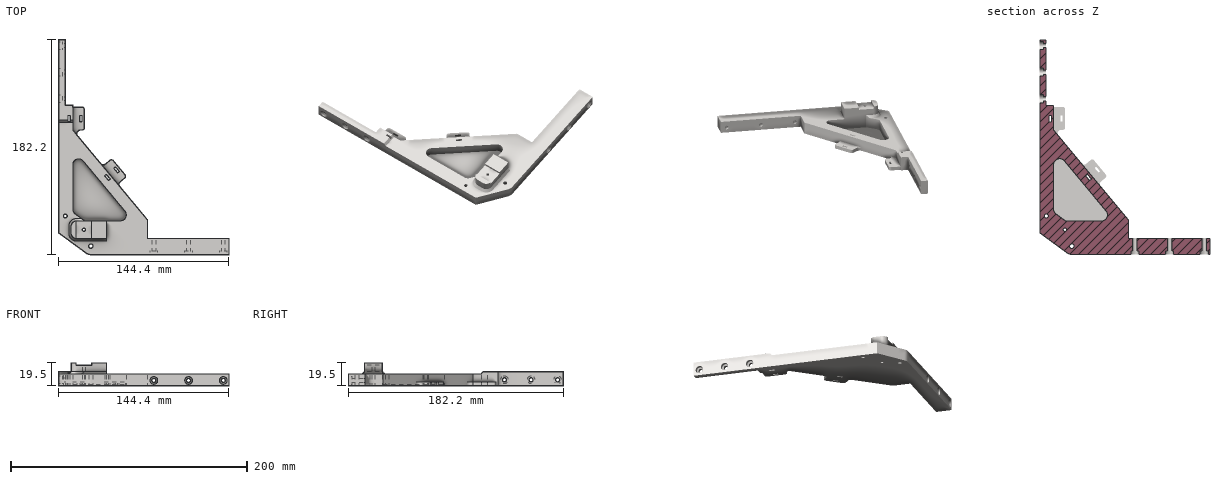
import cadquery as cq
import math

length_x = 144.4
length_y = 182.21
plate_thickness = 10.0
through_all = 60.0

x_arm_width = 13.9
y_arm_width = 5.7
arm_hole_diameter = 3.3
arm_counterbore_diameter = 6.5
arm_counterbore_depth = 3.0
x_arm_hole_height = 4.5
y_arm_hole_height = 5.0
arm_hole_end_distance = 5.0
arm_hole_count = 3
x_arm_hole_pitch = 29.4
y_arm_hole_pitch = 22.5

web_x = 75.4
web_y = 29.4
block_width = 11.9
block_end_y = 126.7
diagonal_start_y = 105.7

corner_cut_x = 25.1
corner_cut_y = 18.4
corner_cut_radius = 7.5

step_height = 2.0
step_start_y = 112.2

pocket_floor = 1.0
pocket_left = 11.9
pocket_bottom = 28.8
pocket_border = 10.0
pocket_radius = 5.0
pocket_cut_x = 21.9
pocket_cut_y = pocket_bottom + (pocket_cut_x - pocket_left) * corner_cut_y / corner_cut_x

boss_left = 10.5
boss_right = 40.5
boss_front = 13.6
boss_width = pocket_bottom - boss_front
boss_center_y = boss_front + boss_width / 2
boss_top = 19.5
boss_radius = 4.8
boss_notch_start = 14.7
boss_notch_end = 27.9
boss_notch_depth = 2.0
boss_flare = 2.0
boss_flare_angle = 45.0
boss_hole_diameter = 2.5
boss_hole_center = ((boss_notch_start + boss_notch_end) / 2, boss_center_y)

plate_holes = [((5.6, 32.9), 3.0), ((27.2, 7.3), 3.5)]

tab_thickness = 3.0
tab_depth = 9.8
tab_corner_radius = 2.0
tab_fillet_radius = 3.0
tab_width = 19.6
arm_tab_center_y = 115.4
tie_slot_length = 5.0
tie_slot_width = 1.7
inner_slot_offset = -3.1
outer_slot_offset = 6.9

diagonal_dx = web_x - block_width
diagonal_dy = web_y - diagonal_start_y
diagonal_length = math.hypot(diagonal_dx, diagonal_dy)
diagonal_angle = math.degrees(math.atan2(diagonal_dy, diagonal_dx))
web_tab_position = diagonal_length / 2


def make_plate():
    outline = [
        (corner_cut_x, 0),
        (length_x, 0),
        (length_x, x_arm_width),
        (web_x, x_arm_width),
        (web_x, web_y),
        (block_width, diagonal_start_y),
        (block_width, block_end_y),
        (y_arm_width, block_end_y),
        (y_arm_width, length_y),
        (0, length_y),
        (0, corner_cut_y),
    ]
    plate = cq.Workplane("XY").polyline(outline).close().extrude(plate_thickness)
    corner_edge = cq.selectors.NearestToPointSelector((corner_cut_x, 0, plate_thickness / 2))
    return plate.edges(corner_edge).fillet(corner_cut_radius)


def make_step():
    profile = [
        (step_start_y, plate_thickness),
        (length_y, plate_thickness),
        (length_y, plate_thickness + step_height),
        (step_start_y + step_height, plate_thickness + step_height),
    ]
    strip = cq.Workplane("YZ").polyline(profile).close().extrude(block_width)
    clearance = (
        cq.Workplane("XY")
        .box(block_width, length_y, through_all, centered=(False, False, True))
        .translate((y_arm_width, block_end_y, 0))
    )
    return strip.cut(clearance)


def make_boss():
    boss = (
        cq.Workplane("XY")
        .box(boss_right - boss_left, boss_width, boss_top, centered=False)
        .edges("|Z and <X")
        .fillet(boss_radius)
        .translate((boss_left, boss_front, 0))
    )
    notch = (
        cq.Workplane("XY")
        .box(boss_notch_end - boss_notch_start, boss_width, boss_notch_depth, centered=False)
        .translate((boss_notch_start, boss_front, boss_top - boss_notch_depth))
    )
    return boss.cut(notch)


def make_boss_flare():
    width = boss_width + 2 * boss_flare
    length = boss_right - boss_left + 2 * boss_flare
    center_x = (boss_left + boss_right) / 2
    outline = cq.Sketch().rect(length, width).vertices("<X").fillet(boss_radius + boss_flare)
    flare = (
        cq.Workplane("XY", origin=(center_x, boss_center_y, plate_thickness))
        .placeSketch(outline)
        .extrude(boss_flare, taper=boss_flare_angle)
    )
    trim = (
        cq.Workplane("XY")
        .box(length, length_y, through_all, centered=(False, True, True))
        .translate((boss_right, 0, 0))
    )
    return flare.cut(trim)


def make_pocket():
    slope = diagonal_dy / diagonal_dx
    line_y = diagonal_start_y - pocket_border * diagonal_length / diagonal_dx
    top_y = line_y + slope * (pocket_left - block_width)
    right_x = block_width + (pocket_bottom - line_y) / slope
    outline = [
        (pocket_cut_x, pocket_bottom),
        (right_x, pocket_bottom),
        (pocket_left, top_y),
        (pocket_left, pocket_cut_y),
    ]
    pocket = (
        cq.Workplane("XY", origin=(0, 0, pocket_floor))
        .polyline(outline)
        .close()
        .extrude(through_all)
    )
    for corner in [(right_x, pocket_bottom), (pocket_left, top_y), (pocket_left, pocket_cut_y)]:
        edge = cq.selectors.NearestToPointSelector((*corner, pocket_floor + through_all / 2))
        pocket = pocket.edges(edge).fillet(pocket_radius)
    return pocket


def make_arm_tab():
    low_y = arm_tab_center_y - tab_width / 2
    outer_x = block_width + tab_depth
    tab = (
        cq.Workplane("XY")
        .box(outer_x, tab_width, tab_thickness, centered=False)
        .translate((0, low_y, 0))
        .edges("|Z and >X")
        .fillet(tab_corner_radius)
    )
    slope = diagonal_dy / diagonal_dx
    vertex_x = block_width + (low_y - diagonal_start_y) / slope
    half_angle = math.radians(-diagonal_angle) / 2
    tangent = tab_fillet_radius / math.tan(half_angle)
    bisector = tab_fillet_radius / math.sin(half_angle)
    nearest = bisector - tab_fillet_radius
    gusset = (
        cq.Workplane("XY")
        .moveTo(vertex_x, low_y)
        .lineTo(vertex_x + tangent, low_y)
        .threePointArc(
            (vertex_x + nearest * math.cos(half_angle), low_y - nearest * math.sin(half_angle)),
            (
                vertex_x + tangent * diagonal_dx / diagonal_length,
                low_y + tangent * diagonal_dy / diagonal_length,
            ),
        )
        .close()
        .extrude(tab_thickness)
    )
    return tab.union(gusset)


def place_on_diagonal(body):
    return (
        body.translate((web_tab_position, 0, 0))
        .rotate((0, 0, 0), (0, 0, 1), diagonal_angle)
        .translate((block_width, diagonal_start_y, 0))
    )


def make_web_tab():
    half = tab_width / 2
    foot = half + tab_fillet_radius
    shoulder = tab_depth - tab_corner_radius
    tab = (
        cq.Workplane("XY")
        .moveTo(-foot, 0)
        .radiusArc((-half, tab_fillet_radius), -tab_fillet_radius)
        .lineTo(-half, shoulder)
        .radiusArc((-half + tab_corner_radius, tab_depth), tab_corner_radius)
        .lineTo(half - tab_corner_radius, tab_depth)
        .radiusArc((half, shoulder), tab_corner_radius)
        .lineTo(half, tab_fillet_radius)
        .radiusArc((foot, 0), -tab_fillet_radius)
        .lineTo(foot, -tab_fillet_radius)
        .lineTo(-foot, -tab_fillet_radius)
        .close()
        .extrude(tab_thickness)
    )
    return place_on_diagonal(tab)


def make_tie_slots():
    offsets = [(0, inner_slot_offset), (0, outer_slot_offset)]
    slots = (
        cq.Workplane("XY")
        .pushPoints(offsets)
        .rect(tie_slot_length, tie_slot_width)
        .extrude(through_all)
    )
    arm_slots = slots.rotate((0, 0, 0), (0, 0, 1), -90).translate((block_width, arm_tab_center_y, 0))
    return arm_slots.union(place_on_diagonal(slots))


def make_arm_hole():
    hole = cq.Workplane("XY").circle(arm_hole_diameter / 2).extrude(x_arm_width)
    counterbore = cq.Workplane("XY").circle(arm_counterbore_diameter / 2).extrude(arm_counterbore_depth)
    return hole.union(counterbore)


def cut_arm_holes(body):
    hole_along_y = make_arm_hole().rotate((0, 0, 0), (1, 0, 0), -90)
    hole_along_x = make_arm_hole().rotate((0, 0, 0), (0, 1, 0), 90)
    for index in range(arm_hole_count):
        x = length_x - arm_hole_end_distance - index * x_arm_hole_pitch
        y = length_y - arm_hole_end_distance - index * y_arm_hole_pitch
        body = body.cut(hole_along_y.translate((x, 0, x_arm_hole_height)))
        body = body.cut(hole_along_x.translate((0, y, y_arm_hole_height)))
    return body


def cut_vertical_holes(body):
    for center, diameter in plate_holes + [(boss_hole_center, boss_hole_diameter)]:
        body = body.cut(cq.Workplane("XY").center(*center).circle(diameter / 2).extrude(through_all))
    return body


result = make_plate().union(make_step()).union(make_boss_flare())
result = result.cut(make_pocket()).union(make_boss())
result = result.union(make_arm_tab()).union(make_web_tab())
result = result.cut(make_tie_slots())
result = cut_arm_holes(result)
result = cut_vertical_holes(result)